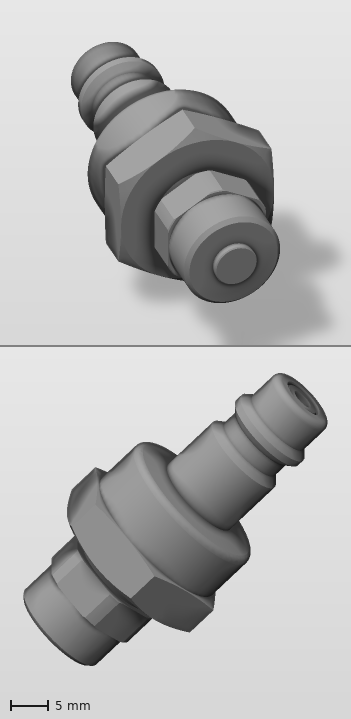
import cadquery as cq
import math

TOTAL_LENGTH = 48.0
RIB_START, RIB_CREST_START = 4.95, 5.95
RIB_CREST_END, GROOVE_START = 7.0, 8.05
GROOVE_END, SHANK_START = 10.3, 11.4
BODY_START = 20.0
LARGE_HEX_START, LARGE_HEX_END = 28.05, 34.0
SMALL_HEX_START, SMALL_HEX_END = 36.0, 41.0
COLLAR_END = 47.0

NOSE_DIAMETER = 10.0
SHANK_DIAMETER = 12.0
GROOVE_DIAMETER = 9.75
BODY_DIAMETER = 21.5
COLLAR_DIAMETER = 13.8
TAIL_DIAMETER = 6.0

NOSE_FILLET = 0.95
BODY_FACE_SETBACK = 0.65
BODY_FILLET = 0.95
COLLAR_CHAMFER = 0.6
TAIL_CHAMFER = 0.15

LARGE_HEX_FLATS = 22.0
LARGE_HEX_FRONT_BEVEL = 0.5
LARGE_HEX_REAR_BEVEL = 0.95
SMALL_HEX_FLATS = 14.0
SMALL_HEX_ROUND = 15.25
SMALL_HEX_BEVEL = 0.15

RECESS_DIAMETER = 6.0
BORE_DIAMETER = 5.6
PIN_DIAMETER = 5.45
PIN_FACE_DIAMETER = 5.0
RECESS_DEPTH = 0.2
GAP_DEPTH = 0.6
CONE_DIAMETER = 3.0
CONE_DEPTH = 0.9


def revolve_x(points):
    """Solid of revolution about X from a closed (x, radius) outline."""
    return cq.Workplane("XY").polyline(points).close().revolve(360, (0, 0, 0), (1, 0, 0))


def cylinder(start, end, diameter):
    return cq.Workplane("YZ", origin=(start, 0, 0)).circle(diameter / 2).extrude(end - start)


def corner_diameter(flats):
    return flats / math.cos(math.pi / 6)


def beveled_hexagon(start, end, flats, round_diameter, face_diameters, bevels):
    """Hexagonal prism whose corners are trimmed to a turned, beveled envelope.

    Face diameters and bevel lengths are (front, rear) pairs.
    """
    front_face, rear_face = face_diameters
    front_bevel, rear_bevel = bevels
    prism = (
        cq.Workplane("YZ", origin=(start, 0, 0))
        .transformed(rotate=(0, 0, 90))
        .polygon(6, corner_diameter(flats))
        .extrude(end - start)
    )
    envelope = revolve_x([
        (start, 0),
        (start, front_face / 2),
        (start + front_bevel, round_diameter / 2),
        (end - rear_bevel, round_diameter / 2),
        (end, rear_face / 2),
        (end, 0),
    ])
    return prism.intersect(envelope)


def plug():
    """Nose with rounded edge, locking rib, groove and plain shank."""
    nose, shank, groove = NOSE_DIAMETER / 2, SHANK_DIAMETER / 2, GROOVE_DIAMETER / 2
    turned = revolve_x([
        (0, 0),
        (0, nose),
        (RIB_START, nose),
        (RIB_CREST_START, shank),
        (RIB_CREST_END, shank),
        (GROOVE_START, groove),
        (GROOVE_END, groove),
        (SHANK_START, shank),
        (SMALL_HEX_START, shank),
        (SMALL_HEX_START, 0),
    ])
    return turned.faces("<X").edges().fillet(NOSE_FILLET)


def body():
    """Large round body with a slightly conical front face and rounded rim."""
    rim_x = BODY_START + BODY_FACE_SETBACK
    turned = revolve_x([
        (BODY_START, 0),
        (BODY_START, SHANK_DIAMETER / 2),
        (rim_x, BODY_DIAMETER / 2),
        (LARGE_HEX_START, BODY_DIAMETER / 2),
        (LARGE_HEX_START, 0),
    ])
    rim = cq.selectors.BoxSelector(
        (rim_x - 0.05, -BODY_DIAMETER, -BODY_DIAMETER),
        (rim_x + 0.05, BODY_DIAMETER, BODY_DIAMETER),
        boundingbox=True,
    )
    return turned.edges(rim).fillet(BODY_FILLET)


def large_hexagon():
    return beveled_hexagon(
        LARGE_HEX_START, LARGE_HEX_END, LARGE_HEX_FLATS,
        corner_diameter(LARGE_HEX_FLATS), (BODY_DIAMETER, LARGE_HEX_FLATS),
        (LARGE_HEX_FRONT_BEVEL, LARGE_HEX_REAR_BEVEL),
    )


def small_hexagon():
    face_diameter = SMALL_HEX_ROUND - 2 * SMALL_HEX_BEVEL
    return beveled_hexagon(
        SMALL_HEX_START, SMALL_HEX_END, SMALL_HEX_FLATS,
        SMALL_HEX_ROUND, (face_diameter, face_diameter),
        (SMALL_HEX_BEVEL, SMALL_HEX_BEVEL),
    )


def collar():
    return cylinder(SMALL_HEX_END, COLLAR_END, COLLAR_DIAMETER).faces(">X").chamfer(COLLAR_CHAMFER)


def tail():
    return cylinder(COLLAR_END, TOTAL_LENGTH, TAIL_DIAMETER).faces(">X").chamfer(TAIL_CHAMFER)


def nose_recess():
    """Recess, ring gap around the beveled pin and conical dimple in the pin face."""
    pin_bevel = (PIN_DIAMETER - PIN_FACE_DIAMETER) / 2
    return revolve_x([
        (0, 0),
        (0, RECESS_DIAMETER / 2),
        (RECESS_DEPTH, BORE_DIAMETER / 2),
        (GAP_DEPTH, BORE_DIAMETER / 2),
        (GAP_DEPTH, PIN_DIAMETER / 2),
        (RECESS_DEPTH + pin_bevel, PIN_DIAMETER / 2),
        (RECESS_DEPTH, PIN_FACE_DIAMETER / 2),
        (RECESS_DEPTH, CONE_DIAMETER / 2),
        (RECESS_DEPTH + CONE_DEPTH, 0),
    ])


result = plug()
for section in (body(), large_hexagon(), small_hexagon(), collar(), tail()):
    result = result.union(section)
result = result.cut(nose_recess())